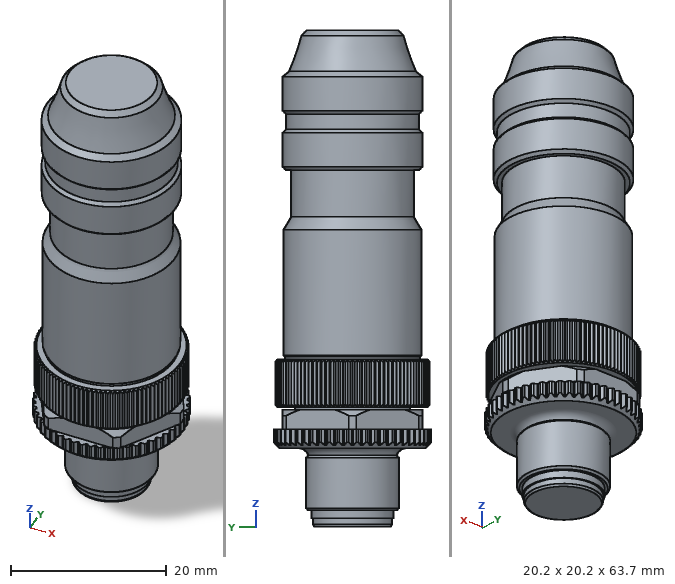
import cadquery as cq
import math

total_length = 63.7
plug_step_level = 1.1
thread_bottom = 2.1
thread_top = 8.85
nut_bottom = 10.05
nut_teeth_top = 12.55
nut_top = 15.05
ring_bottom = 15.35
ring_top = 21.45
sleeve_bottom = 21.8
sleeve_shoulder = 38.1
neck_bottom = 39.75
cap_bottom = 45.75
groove_bottom = 50.95
groove_top = 52.95
cap_band_top = 57.7
taper_bottom = 58.4
taper_top = 63.0

plug_radius = 5.1
plug_shoulder_radius = 5.3
plug_edge_chamfer = (0.2, 0.3)
thread_radius = 6.0
thread_chamfer = 0.3
flare_top_radius = 7.0
flare_mid_radius = 6.05
flare_mid_level = 9.75

spindle_radius = 7.4
sleeve_radius = 8.85
sleeve_foot_chamfer = 0.2
sleeve_neck_radius = 7.9
neck_foot_chamfer = (0.2, 0.4)

cap_band_radius = 9.0
groove_radius = 8.55
band_chamfer_height = 0.45
taper_bottom_radius = 8.15
taper_mid_radius = 7.25
taper_top_radius = 6.55
cap_face_radius = 5.85

nut_diameter = 20.2
nut_radius = nut_diameter / 2
nut_chamfer = 0.75
nut_corner_turn = 30
hex_across_flats = 17.95
nut_tooth_count = 52
nut_tooth_depth = 0.4
nut_tip_share = 0.25
nut_root_share = 0.15

ring_radius = 9.95
ring_chamfer = 0.3
ring_tooth_count = 100
ring_tooth_depth = 0.25
ring_tip_share = 0.02
ring_root_share = 0.02


def chamfered_cylinder(radius, bottom, top, chamfer):
    """Solid of revolution with 45 degree chamfers at both ends."""
    return (
        cq.Workplane("XZ")
        .moveTo(0, bottom)
        .lineTo(radius - chamfer, bottom)
        .lineTo(radius, bottom + chamfer)
        .lineTo(radius, top - chamfer)
        .lineTo(radius - chamfer, top)
        .lineTo(0, top)
        .close()
        .revolve(360, (0, 0), (0, 1))
    )


def toothed_prism(count, tip_radius, depth, tip_share, root_share, bottom, top):
    """Prism with trapezoidal teeth; a groove is centred on +X."""
    pitch = 2 * math.pi / count
    half_root = root_share * pitch / 2
    half_tip = tip_share * pitch / 2
    root_radius = tip_radius - depth
    corners = (
        (root_radius, -half_root),
        (root_radius, half_root),
        (tip_radius, pitch / 2 - half_tip),
        (tip_radius, pitch / 2 + half_tip),
    )
    outline = []
    for tooth in range(count):
        for radius, offset in corners:
            angle = tooth * pitch + offset
            outline.append((radius * math.cos(angle), radius * math.sin(angle)))
    return cq.Workplane("XY").workplane(offset=bottom).polyline(outline).close().extrude(top - bottom)


def make_core():
    """Plug, thread, spindle, sleeve and cable cap as one turned profile."""
    chamfer_width, chamfer_height = plug_edge_chamfer
    neck_foot_width, neck_foot_height = neck_foot_chamfer
    thread_end_radius = thread_radius - thread_chamfer
    sleeve_foot_radius = sleeve_radius - sleeve_foot_chamfer
    taper_mid_level = (taper_bottom + taper_top) / 2
    return (
        cq.Workplane("XZ")
        .moveTo(0, 0)
        .lineTo(plug_radius - chamfer_width, 0)
        .lineTo(plug_radius, chamfer_height)
        .lineTo(plug_radius, plug_step_level)
        .lineTo(plug_shoulder_radius, plug_step_level)
        .lineTo(plug_shoulder_radius, thread_bottom)
        .lineTo(thread_end_radius, thread_bottom)
        .lineTo(thread_radius, thread_bottom + thread_chamfer)
        .lineTo(thread_radius, thread_top)
        .lineTo(thread_end_radius, thread_top + thread_chamfer)
        .threePointArc((flare_mid_radius, flare_mid_level), (flare_top_radius, nut_bottom))
        .lineTo(spindle_radius, nut_bottom)
        .lineTo(spindle_radius, ring_bottom)
        .lineTo(sleeve_foot_radius, ring_bottom)
        .lineTo(sleeve_foot_radius, sleeve_bottom)
        .lineTo(sleeve_radius, sleeve_bottom + sleeve_foot_chamfer)
        .lineTo(sleeve_radius, sleeve_shoulder)
        .lineTo(sleeve_neck_radius + neck_foot_width, neck_bottom - neck_foot_height)
        .lineTo(sleeve_neck_radius, neck_bottom)
        .lineTo(sleeve_neck_radius, cap_bottom)
        .lineTo(groove_radius, cap_bottom)
        .lineTo(cap_band_radius, cap_bottom + band_chamfer_height)
        .lineTo(cap_band_radius, groove_bottom - band_chamfer_height)
        .lineTo(groove_radius, groove_bottom)
        .lineTo(groove_radius, groove_top)
        .lineTo(cap_band_radius, groove_top + band_chamfer_height)
        .lineTo(cap_band_radius, cap_band_top)
        .lineTo(taper_bottom_radius, taper_bottom)
        .threePointArc((taper_mid_radius, taper_mid_level), (taper_top_radius, taper_top))
        .lineTo(cap_face_radius, total_length)
        .lineTo(0, total_length)
        .close()
        .revolve(360, (0, 0), (0, 1))
    )


def make_nut():
    """Hexagon with corners on the X axis, over a toothed flange."""
    blank = chamfered_cylinder(nut_radius, nut_bottom, nut_top, nut_chamfer)
    hexagon = (
        cq.Workplane("XY")
        .workplane(offset=nut_teeth_top)
        .polygon(6, hex_across_flats, circumscribed=True)
        .extrude(nut_top - nut_teeth_top)
        .rotate((0, 0, 0), (0, 0, 1), nut_corner_turn)
    )
    teeth = toothed_prism(
        nut_tooth_count,
        nut_radius,
        nut_tooth_depth,
        nut_tip_share,
        nut_root_share,
        nut_bottom,
        nut_teeth_top,
    )
    return hexagon.union(teeth).intersect(blank)


def make_ring():
    """Knurled ring, chamfered past the tooth roots at both ends."""
    blank = chamfered_cylinder(ring_radius, ring_bottom, ring_top, ring_chamfer)
    teeth = toothed_prism(
        ring_tooth_count,
        ring_radius,
        ring_tooth_depth,
        ring_tip_share,
        ring_root_share,
        ring_bottom,
        ring_top,
    )
    return teeth.intersect(blank)


result = make_core().union(make_nut()).union(make_ring())